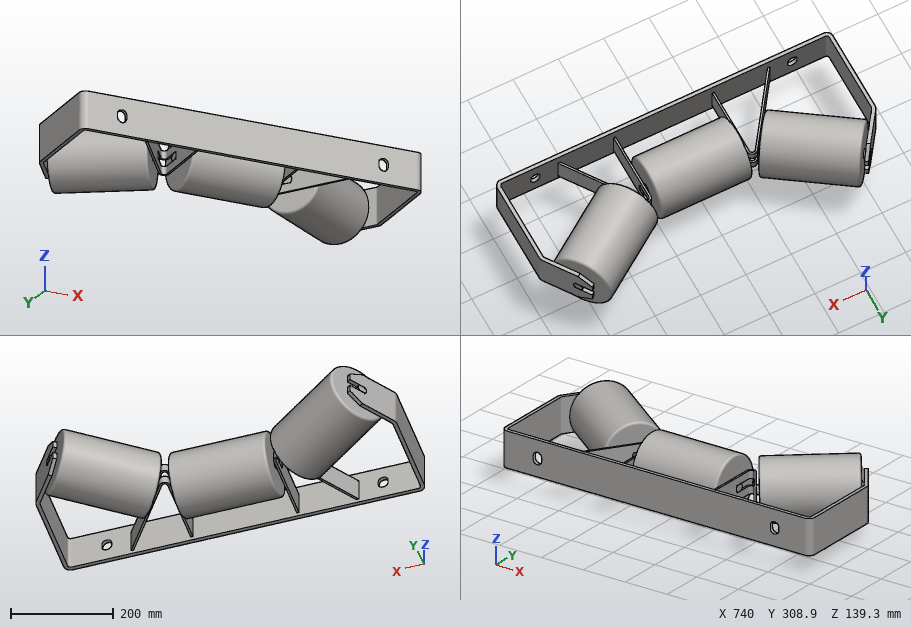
import cadquery as cq
import math

trough_angle = 35
roller_tilt = 1.8
sin_trough = math.sin(math.radians(trough_angle))
cos_trough = math.cos(math.radians(trough_angle))
tan_half_trough = math.tan(math.radians(trough_angle / 2))

roller_diameter = 133.0
roller_length = 200.0
roller_end_fillet = 5.0
shaft_diameter = 20.0
tongue_thickness = 15.0
outer_gap = 4.5
inner_gap = 7.0
shoulder_clearance = 0.4
slot_clearance = 1.0

frame_width = 740.0
frame_height = 80.0
frame_thickness = 8.0
frame_bend_radius = 14.0
wing_length = 114.0
wing_tip_height = 46.5
wing_taper_length = 31.0
mount_hole_width = 20.0
mount_hole_height = 27.0
mount_hole_x = 283.5

bracket_height = 50.0
bracket_thickness = 4.5
bracket_bend_radius = 10.0

middle_roller_y = 126.0
side_roller_x = 230.0
side_roller_y = 199.0

half_roller = roller_length / 2
half_frame = frame_width / 2
inner_support = half_roller + inner_gap
outer_support = half_roller + outer_gap
inner_shaft_end = inner_support + bracket_thickness
outer_shaft_end = outer_support + frame_thickness
tilt_sin = math.sin(math.radians(roller_tilt))
side_roller_z = -outer_support * tilt_sin
middle_roller_z = side_roller_z - inner_support * tilt_sin
wing_bend_y = side_roller_y + (outer_shaft_end - (half_frame - side_roller_x) * cos_trough) / sin_trough
slot_reach = 89.0


def mirrored(shape):
    return shape.mirror("YZ")


def place_middle(shape):
    """Move a shape built along X at the origin to the middle roller's seat."""
    return shape.translate((0, middle_roller_y, middle_roller_z))


def place_side(shape, height):
    """Turn a shape built along X by the trough angle onto the left roller's place, -X outwards."""
    leaned = shape.rotate((0, 0, 0), (0, 0, 1), -trough_angle)
    return leaned.translate((-side_roller_x, side_roller_y, height))


def tilt(shape):
    """Raise the -X end of a shape by the roller tilt."""
    return shape.rotate((0, 0, 0), (0, 1, 0), roller_tilt)


def rod(diameter, start, end):
    return cq.Workplane("YZ", origin=(start, 0, 0)).circle(diameter / 2).extrude(end - start)


def flatted_rod(diameter, thickness, start, end):
    """Rod with a flat on its top and bottom, the given thickness apart."""
    flats = cq.Workplane("XY").box(2 * frame_width, 2 * diameter, thickness)
    return rod(diameter, start, end).intersect(flats)


def make_roller(left_support, left_end, right_support, right_end):
    """Roller along X with a round shaft that ends in a flatted tongue on each side."""
    shell = rod(roller_diameter, -half_roller, half_roller).edges().fillet(roller_end_fillet)
    left_shoulder = left_support - shoulder_clearance
    right_shoulder = right_support - shoulder_clearance
    shaft = rod(shaft_diameter, -left_shoulder, right_shoulder)
    tongues = flatted_rod(shaft_diameter, tongue_thickness, -left_end, right_end)
    return shell.union(shaft).union(tongues)


def shaft_slot(start, end):
    """Cutter for a tongue slot between two X positions: round at the bottom, open towards +Y."""
    slot_height = tongue_thickness + slot_clearance
    bottom = flatted_rod(shaft_diameter + slot_clearance, slot_height, start, end)
    channel = cq.Workplane("XY").box(
        end - start, slot_reach, slot_height, centered=(False, False, True)
    )
    return bottom.union(channel.translate((start, 0, 0)))


def wing_taper_cutter():
    """Two triangular prisms that slope the top and bottom of the left wing towards its tip."""
    drop = (frame_height - wing_tip_height) / 2
    cutters = cq.Workplane("XY")
    for side in (-1, 1):
        edge = side * frame_height / 2
        triangle = (
            cq.Workplane("YZ", origin=(-frame_thickness, 0, 0))
            .polyline([
                (wing_length - wing_taper_length, edge),
                (wing_length, edge - side * drop),
                (wing_length, edge),
            ])
            .close()
            .extrude(3 * frame_thickness)
        )
        cutters = cutters.add(triangle)
    leaned = cutters.combine().rotate((0, 0, 0), (0, 0, 1), -trough_angle)
    return leaned.translate((-half_frame, wing_bend_y, 0))


def make_frame():
    inner_half = half_frame - frame_thickness
    inner_bend_y = wing_bend_y - frame_thickness * tan_half_trough
    tip_x = -half_frame + wing_length * sin_trough
    tip_y = wing_bend_y + wing_length * cos_trough
    outer_bends = [(-half_frame, 0), (-half_frame, wing_bend_y)]
    inner_bends = [(-inner_half, inner_bend_y), (-inner_half, frame_thickness)]
    left_half = (
        cq.Workplane("XY", origin=(0, 0, -frame_height / 2))
        .polyline([
            (0, 0),
            *outer_bends,
            (tip_x, tip_y),
            (tip_x + frame_thickness * cos_trough, tip_y - frame_thickness * sin_trough),
            *inner_bends,
            (0, frame_thickness),
        ])
        .close()
        .extrude(frame_height)
    )
    for x, y in outer_bends:
        left_half = left_half.edges(cq.NearestToPointSelector((x, y, 0))).fillet(frame_bend_radius)
    for x, y in inner_bends:
        bend = left_half.edges(cq.NearestToPointSelector((x, y, 0)))
        left_half = bend.fillet(frame_bend_radius - frame_thickness)

    mount_hole = (
        cq.Workplane("XZ", origin=(-mount_hole_x, frame_thickness, 0))
        .slot2D(mount_hole_height, mount_hole_width, 90)
        .extrude(frame_thickness)
    )
    wing_slot = place_side(shaft_slot(-outer_shaft_end - frame_thickness, -outer_support), 0)
    left_half = left_half.cut(wing_taper_cutter()).cut(mount_hole).cut(wing_slot)
    return left_half.union(mirrored(left_half))


def diagonal_x(y, distance):
    """X on a line square to the left roller's axis, the given distance inwards from its middle."""
    return -side_roller_x + (distance + (y - side_roller_y) * sin_trough) / cos_trough


def diagonal_y(x, distance):
    """Y on that same line."""
    return side_roller_y + ((x + side_roller_x) * cos_trough - distance) / sin_trough


def make_bracket():
    """Left bracket: a strip folded over into an upright leg and a leaning leg, both on the bar."""
    foot_y = frame_thickness
    outer_apex = (-inner_support, diagonal_y(-inner_support, inner_support))
    inner_apex = (-inner_shaft_end, diagonal_y(-inner_shaft_end, inner_shaft_end))
    bracket = (
        cq.Workplane("XY", origin=(0, 0, middle_roller_z - bracket_height / 2))
        .polyline([
            (diagonal_x(foot_y, inner_support), foot_y),
            outer_apex,
            (-inner_support, foot_y),
            (-inner_shaft_end, foot_y),
            inner_apex,
            (diagonal_x(foot_y, inner_shaft_end), foot_y),
        ])
        .close()
        .extrude(bracket_height)
    )
    outer_bend = bracket.edges(cq.NearestToPointSelector((*outer_apex, middle_roller_z)))
    bracket = outer_bend.fillet(bracket_bend_radius)
    inner_bend = bracket.edges(cq.NearestToPointSelector((*inner_apex, middle_roller_z)))
    bracket = inner_bend.fillet(bracket_bend_radius - bracket_thickness)

    bend_reach = inner_support + 2 * bracket_bend_radius
    upright_slot = place_middle(shaft_slot(-bend_reach, -inner_support))
    leaning_slot = place_side(
        shaft_slot(inner_support, inner_shaft_end + bracket_thickness), middle_roller_z
    )
    return bracket.cut(upright_slot).cut(leaning_slot)


frame = make_frame()
left_bracket = make_bracket()
brackets = [left_bracket, mirrored(left_bracket)]
middle_roller = place_middle(
    make_roller(inner_support, inner_shaft_end, inner_support, inner_shaft_end)
)
left_roller = place_side(
    tilt(make_roller(outer_support, outer_shaft_end, inner_support, inner_shaft_end)),
    side_roller_z,
)
rollers = [left_roller, middle_roller, mirrored(left_roller)]

result = cq.Compound.makeCompound([body.val() for body in [frame, *brackets, *rollers]])